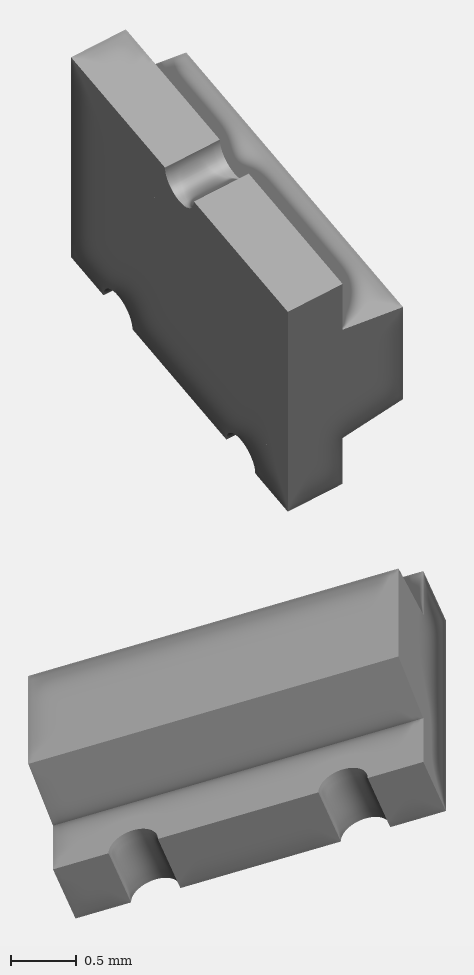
import cadquery as cq
import math

board_width = 3.0
board_height = 2.4
board_thickness = 0.5
board_top = board_height / 2
board_bottom = -board_height / 2

lens_depth = 0.55
lens_base_height = 1.3
lens_draft_angle = 10.0

pad_width = 0.8
pad_height = 0.5
pad_thickness = 0.005
lower_pad_offset = 0.85

notch_radius = 0.2

contacts = [
    (0, board_top),
    (-lower_pad_offset, board_bottom),
    (lower_pad_offset, board_bottom),
]


def make_notch_cutter(x, edge_z):
    """Cylinder along Y, centered on the board edge."""
    return (
        cq.Workplane("XZ", origin=(x, 0, edge_z))
        .circle(notch_radius)
        .extrude(-board_thickness)
    )


def make_pad_blank(x, edge_z):
    """Rectangular pad reaching from the board edge toward the board center."""
    inward = -1 if edge_z > 0 else 1
    return (
        cq.Workplane("XZ", origin=(x, 0, edge_z + inward * pad_height / 2))
        .rect(pad_width, pad_height)
        .extrude(-pad_thickness)
    )


def make_pad(x, edge_z):
    """Pad with the half-round notch cut from its outer edge."""
    return make_pad_blank(x, edge_z).cut(make_notch_cutter(x, edge_z))


def make_board():
    """Plate with the edge notches and a shallow recess for each pad."""
    board = cq.Workplane("XZ").rect(board_width, board_height).extrude(-board_thickness)
    for x, edge_z in contacts:
        board = board.cut(make_notch_cutter(x, edge_z))
        board = board.cut(make_pad_blank(x, edge_z))
    return board


def make_lens():
    """Trapezoid in the YZ plane, extruded over the full board width."""
    base_y = board_thickness
    tip_y = board_thickness + lens_depth
    base_z = lens_base_height / 2
    tip_z = base_z - lens_depth * math.tan(math.radians(lens_draft_angle))
    return (
        cq.Workplane("YZ")
        .polyline([(base_y, -base_z), (tip_y, -tip_z), (tip_y, tip_z), (base_y, base_z)])
        .close()
        .extrude(board_width / 2, both=True)
    )


board = make_board()
lens = make_lens()
pads = [make_pad(x, edge_z) for x, edge_z in contacts]

result = cq.Compound.makeCompound([
    board.val(),
    lens.val(),
    *[pad.val() for pad in pads],
])